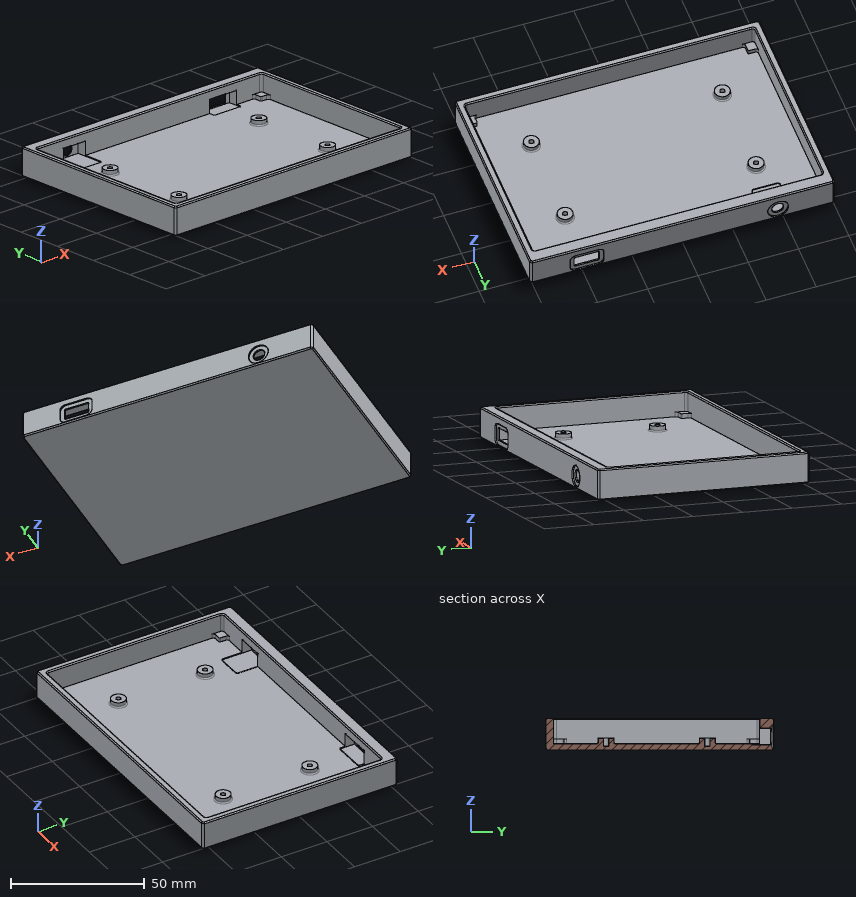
import cadquery as cq

CASE_X = 121.3
CASE_Y = 85.54
CASE_Z = 11.9
CORNER_CHAMFER = 0.8
RIM_CHAMFER = 0.5

SIDE_WALL = 3.0
BACK_WALL = 5.3
FLOOR_Z = 2.4
CAVITY_CORNER_RADIUS = 1.0
MOUTH_CHAMFER = 0.5
MOUTH_TAPER = 45.0
CAVITY_X = CASE_X - 2 * SIDE_WALL
CAVITY_Y = CASE_Y - SIDE_WALL - BACK_WALL
CAVITY_CENTER_Y = (SIDE_WALL - BACK_WALL) / 2

BLOCK_SIZE = 3.8
BLOCK_HEIGHT = 1.8
BLOCK_FOOT_RADIUS = 1.0
BLOCK_EDGE_RADIUS = 0.4
SUPPORT_Z = FLOOR_Z + BLOCK_HEIGHT

POST_SPACING_X = 76.0
POST_SPACING_Y = 38.0
POST_DIAMETER = 6.0
POST_HEIGHT = 2.1
POST_BASE_FILLET = 0.5
PILOT_DIAMETER = 1.9
PILOT_DEPTH = 3.0

CONNECTOR_X = POST_SPACING_X / 2
RECESS_FLOOR_Z = 2.0
RECESS_TOP_Z = 8.1
JACK_RECESS_X = 11.2
JACK_RECESS_REACH = 9.2
JACK_RECESS_RADIUS = 1.0
USB_RECESS_X = 13.8
USB_RECESS_REACH = 2.5
USB_RECESS_RADIUS = 0.5

THIN_WALL = 1.2
LIP_THICKNESS = 0.6
PLUG_DEPTH = THIN_WALL - LIP_THICKNESS
OPENING_Z = 4.9
JACK_HOLE_DIAMETER = 4.8
JACK_PLUG_DIAMETER = 8.2
PLUG_MARGIN = (JACK_PLUG_DIAMETER - JACK_HOLE_DIAMETER) / 2
USB_HOLE_X = 10.0
USB_HOLE_Z = JACK_HOLE_DIAMETER
USB_HOLE_RADIUS = 0.5


def make_case():
    """Plain block with chamfered corners and rims."""
    block = cq.Workplane("XY").box(CASE_X, CASE_Y, CASE_Z, centered=(True, True, False))
    block = block.edges("|Z").chamfer(CORNER_CHAMFER)
    return block.faces("<Z or >Z").edges().chamfer(RIM_CHAMFER)


def make_upper_cavity():
    """Cavity above the support blocks, flaring out into the chamfered mouth."""
    upper = (
        cq.Workplane("XY", origin=(0, CAVITY_CENTER_Y, SUPPORT_Z))
        .rect(CAVITY_X, CAVITY_Y)
        .extrude(CASE_Z - SUPPORT_Z)
        .edges("|Z")
        .fillet(CAVITY_CORNER_RADIUS)
    )
    mouth_outline = cq.Sketch().rect(CAVITY_X + 2 * MOUTH_CHAMFER, CAVITY_Y + 2 * MOUTH_CHAMFER)
    mouth_outline = mouth_outline.vertices().fillet(CAVITY_CORNER_RADIUS + MOUTH_CHAMFER)
    mouth_plane = cq.Workplane("XY", origin=(0, CAVITY_CENTER_Y, CASE_Z))
    mouth = mouth_plane.placeSketch(mouth_outline).extrude(-MOUTH_CHAMFER, taper=MOUTH_TAPER)
    return upper.union(mouth)


def make_lower_cavity():
    """Cross-shaped cavity between the corner blocks, down to the floor."""
    floor_plane = cq.Workplane("XY", origin=(0, CAVITY_CENTER_Y, FLOOR_Z))
    inner_x = CAVITY_X - 2 * BLOCK_SIZE
    inner_y = CAVITY_Y - 2 * BLOCK_SIZE
    along_x = floor_plane.rect(CAVITY_X, inner_y).extrude(BLOCK_HEIGHT)
    along_y = floor_plane.rect(inner_x, CAVITY_Y).extrude(BLOCK_HEIGHT)
    along_x = along_x.edges("|Z").fillet(BLOCK_FOOT_RADIUS)
    along_y = along_y.edges("|Z").fillet(BLOCK_FOOT_RADIUS)
    half_x = CAVITY_X / 2 - BLOCK_SIZE / 2
    half_y = CAVITY_Y / 2 - BLOCK_SIZE / 2
    block_corners = cq.selectors.BoxSelector(
        (-half_x, CAVITY_CENTER_Y - half_y, 0),
        (half_x, CAVITY_CENTER_Y + half_y, CASE_Z),
    )
    return along_x.union(along_y).edges("|Z").edges(block_corners).fillet(BLOCK_EDGE_RADIUS)


def make_post():
    """Cylindrical post with a fillet at its foot, standing on Z = 0."""
    radius = POST_DIAMETER / 2
    profile = (
        cq.Workplane("XZ")
        .lineTo(radius + POST_BASE_FILLET, 0)
        .radiusArc((radius, POST_BASE_FILLET), POST_BASE_FILLET)
        .lineTo(radius, POST_HEIGHT)
        .lineTo(0, POST_HEIGHT)
        .close()
    )
    return profile.revolve(360, (0, 0, 0), (0, 1, 0))


def add_posts(body):
    """Stand the four posts on the floor and drill a blind pilot hole in each."""
    pattern = cq.Workplane("XY", origin=(0, CAVITY_CENTER_Y, FLOOR_Z + POST_HEIGHT))
    pattern = pattern.rect(POST_SPACING_X, POST_SPACING_Y, forConstruction=True).vertices()
    for center in pattern.vals():
        body = body.union(make_post().translate((center.X, center.Y, FLOOR_Z)))
    return body.cut(pattern.circle(PILOT_DIAMETER / 2).extrude(-PILOT_DEPTH))


def make_recess(x, width, reach, corner_radius):
    """Connector recess, running from the thin outer wall out over the floor."""
    depth = BACK_WALL - THIN_WALL + reach
    center_y = CASE_Y / 2 - THIN_WALL - depth / 2
    return (
        cq.Workplane("XY", origin=(x, center_y, RECESS_FLOOR_Z))
        .rect(width, depth)
        .extrude(RECESS_TOP_Z - RECESS_FLOOR_Z)
        .edges("|Z and <Y")
        .fillet(corner_radius)
    )


def make_jack_opening():
    """Round hole with a counterbore on the outside of the back wall."""
    back_face = cq.Workplane("XZ", origin=(-CONNECTOR_X, CASE_Y / 2, OPENING_Z))
    hole = back_face.circle(JACK_HOLE_DIAMETER / 2).extrude(THIN_WALL)
    return hole.union(back_face.circle(JACK_PLUG_DIAMETER / 2).extrude(PLUG_DEPTH))


def make_usb_opening():
    """Rounded rectangular hole with a wider step on the outside of the back wall."""
    back_face = cq.Workplane("XZ", origin=(CONNECTOR_X, CASE_Y / 2, OPENING_Z))
    hole = back_face.rect(USB_HOLE_X, USB_HOLE_Z).extrude(THIN_WALL)
    hole = hole.edges("|Y").fillet(USB_HOLE_RADIUS)
    step = back_face.rect(USB_HOLE_X + 2 * PLUG_MARGIN, USB_HOLE_Z + 2 * PLUG_MARGIN).extrude(PLUG_DEPTH)
    step = step.edges("|Y").fillet(USB_HOLE_RADIUS + PLUG_MARGIN)
    return hole.union(step)


case = make_case().cut(make_upper_cavity()).cut(make_lower_cavity())
case = add_posts(case)
case = case.cut(make_recess(-CONNECTOR_X, JACK_RECESS_X, JACK_RECESS_REACH, JACK_RECESS_RADIUS))
case = case.cut(make_recess(CONNECTOR_X, USB_RECESS_X, USB_RECESS_REACH, USB_RECESS_RADIUS))
result = case.cut(make_jack_opening()).cut(make_usb_opening())